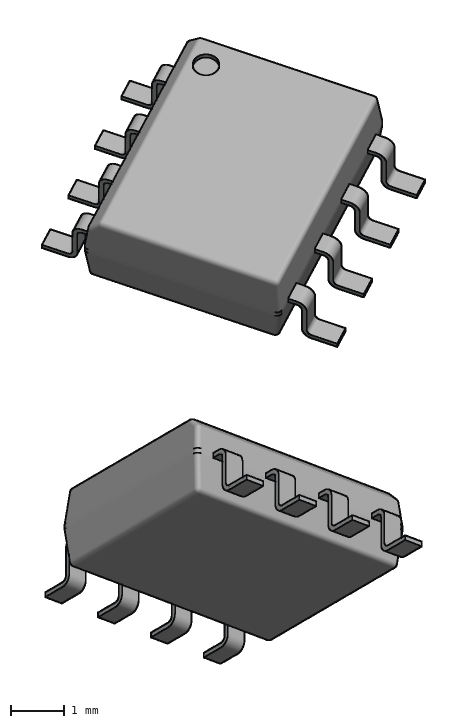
import cadquery as cq
import math

span_x = 6.0
body_x = 4.0
body_y = 5.0
top_z = 1.75
standoff = 0.1

draft_angle = 6.0
edge_radius = 0.095
bevel_size = 0.215
dot_diameter = 0.5
dot_depth = 0.1
dot_inset = 0.665

lead_count = 4
lead_pitch = 1.27
lead_width = 0.4
lead_thickness = 0.1
bend_radius = 0.1
foot_length = 0.62

band_bottom = (standoff + top_z - lead_thickness) / 2
band_top = band_bottom + lead_thickness


def drafted_half(start_z, height):
    """Block rising (or sinking, for a negative height) from the band, with walls leaning inwards."""
    return cq.Workplane("XY").workplane(offset=start_z).rect(body_x, body_y).extrude(height, taper=draft_angle)


def bevel_cutter():
    """Triangular prism that removes the top edge on the -X side, carried on past the wall."""
    top_edge_x = -body_x / 2 + (top_z - band_top) * math.tan(math.radians(draft_angle))
    low_point = (top_edge_x - bevel_size, top_z - 2 * bevel_size)
    high_point = (top_edge_x + bevel_size, top_z)
    outer_point = (low_point[0], top_z)
    return (
        cq.Workplane("XZ")
        .polyline([low_point, high_point, outer_point])
        .close()
        .extrude(body_y / 2, both=True)
    )


def round_edges(half, joint_face):
    """Round every edge of a half except those of the face that joins the parting band."""
    joint_edges = half.faces(joint_face).edges().vals()
    return half.edges().filter(lambda edge: edge not in joint_edges).fillet(edge_radius)


def dot_cutter():
    """Shallow round recess in the top face that marks pin 1."""
    return (
        cq.Workplane("XY")
        .workplane(offset=top_z - dot_depth)
        .center(-body_x / 2 + dot_inset, body_y / 2 - dot_inset)
        .circle(dot_diameter / 2)
        .extrude(dot_depth)
    )


def make_body():
    """Parting band with a drafted, rounded half above and below it."""
    band = cq.Workplane("XY").workplane(offset=band_bottom).rect(body_x, body_y).extrude(lead_thickness)
    band = band.edges("|Z").fillet(edge_radius)
    upper_half = round_edges(drafted_half(band_top, top_z - band_top).cut(bevel_cutter()), "<Z")
    lower_half = round_edges(drafted_half(band_bottom, standoff - band_bottom), ">Z")
    return band.union(upper_half).union(lower_half).cut(dot_cutter())


def make_lead():
    """Gull-wing lead on the +X side, centred on y = 0, butting against the parting band."""
    root_x = body_x / 2
    tip_x = span_x / 2
    upright_outer_x = tip_x - foot_length
    upright_inner_x = upright_outer_x - lead_thickness
    outer_radius = bend_radius + lead_thickness
    strip = (
        cq.Workplane("XZ")
        .moveTo(root_x, band_top)
        .lineTo(upright_outer_x, band_top)
        .lineTo(upright_outer_x, lead_thickness)
        .lineTo(tip_x, lead_thickness)
        .lineTo(tip_x, 0)
        .lineTo(upright_inner_x, 0)
        .lineTo(upright_inner_x, band_bottom)
        .lineTo(root_x, band_bottom)
        .close()
        .extrude(lead_width / 2, both=True)
    )
    outer_bends = [(upright_outer_x, 0, band_top), (upright_inner_x, 0, 0)]
    inner_bends = [(upright_inner_x, 0, band_bottom), (upright_outer_x, 0, lead_thickness)]
    for corner in outer_bends:
        strip = strip.edges(cq.selectors.NearestToPointSelector(corner)).fillet(outer_radius)
    for corner in inner_bends:
        strip = strip.edges(cq.selectors.NearestToPointSelector(corner)).fillet(bend_radius)
    return strip


def make_leads():
    """Two facing rows of leads, each copy a separate solid."""
    right_lead = make_lead()
    left_lead = right_lead.mirror("YZ")
    first_y = -(lead_count - 1) * lead_pitch / 2
    leads = []
    for index in range(lead_count):
        for lead in (left_lead, right_lead):
            leads.append(lead.translate((0, first_y + index * lead_pitch, 0)).val())
    return leads


body = make_body()
leads = make_leads()

result = cq.Compound.makeCompound([body.val(), *leads])